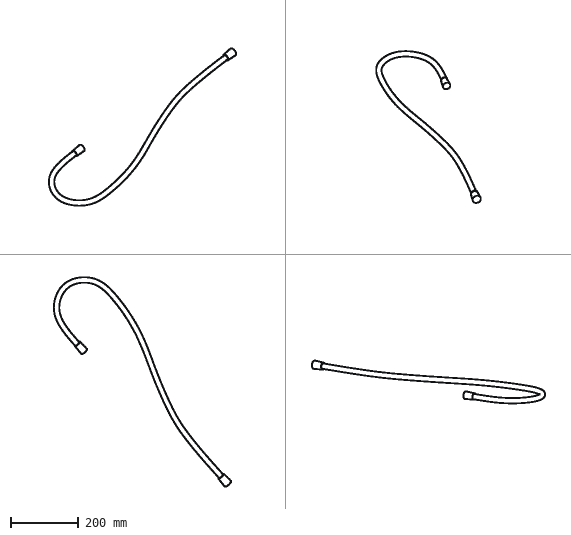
import cadquery as cq

hose_diameter = 17.0
hose_radius = hose_diameter / 2

fitting_length = 32.0
long_end_diameter = 25.5
long_end_neck_diameter = 21.5
short_end_diameter = 23.0
short_end_neck_diameter = 20.0

overall_length = 800.0
overall_width = 199.0
short_end = (0.0, 203.0)
long_end = (57.0, overall_length)
bend_bottom = (100.0, hose_radius)
bend_side = (overall_width - short_end_diameter / 2 - hose_radius, 126.0)

hose_inset = fitting_length / 2
hose_start = (short_end[0], short_end[1] - hose_inset)
hose_finish = (long_end[0], long_end[1] - hose_inset)

centreline = [
    hose_start,
    (1.5, 112.0),
    (20.0, 52.0),
    bend_bottom,
    (166.0, 52.0),
    bend_side,
    (153.5, 284.0),
    (122.0, 370.0),
    (88.0, 471.0),
    (66.0, 558.0),
    (59.0, 630.0),
    (57.0, 712.0),
    hose_finish,
]


def make_hose():
    path = cq.Workplane("XY").spline(centreline)
    profile = cq.Workplane("XZ", origin=(*hose_start, 0)).circle(hose_radius)
    return profile.sweep(path)


def make_fitting(end, end_diameter, neck_diameter):
    """Cone frustum from its open end, narrowing toward -Y."""
    return (
        cq.Workplane("XZ", origin=(*end, 0))
        .circle(end_diameter / 2)
        .workplane(offset=fitting_length)
        .circle(neck_diameter / 2)
        .loft(ruled=True)
    )


long_fitting = make_fitting(long_end, long_end_diameter, long_end_neck_diameter)
short_fitting = make_fitting(short_end, short_end_diameter, short_end_neck_diameter)
result = make_hose().union(long_fitting).union(short_fitting)